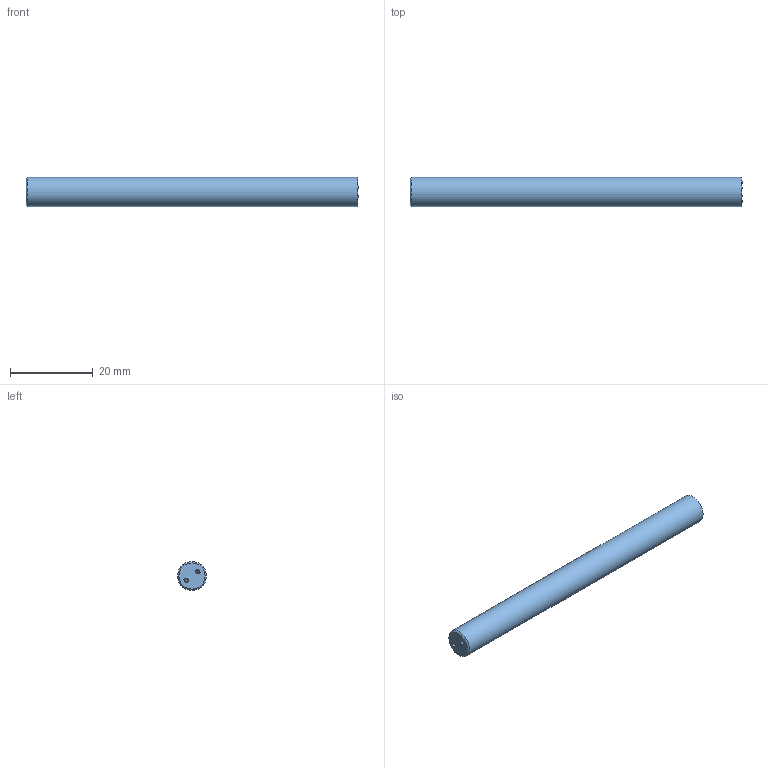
import cadquery as cq

rod_length = 80.0
rod_diameter = 7.0
end_chamfer = 0.35

hole_count = 2
hole_diameter = 1.0
hole_circle_diameter = 3.5
first_hole_angle = 143.5
helix_lead = 30.0

twist_angle = 360.0 * rod_length / helix_lead


def make_rod():
    """Plain rod starting at X = 0, chamfered on its -X end."""
    rod = cq.Workplane("YZ").circle(rod_diameter / 2).extrude(rod_length)
    return rod.faces("<X").chamfer(end_chamfer)


def make_coolant_holes():
    """Twisted round cores that run through the full length of the rod."""
    return (
        cq.Workplane("YZ")
        .polarArray(hole_circle_diameter / 2, first_hole_angle, 360.0, hole_count)
        .circle(hole_diameter / 2)
        .twistExtrude(rod_length, twist_angle)
    )


result = make_rod().cut(make_coolant_holes())